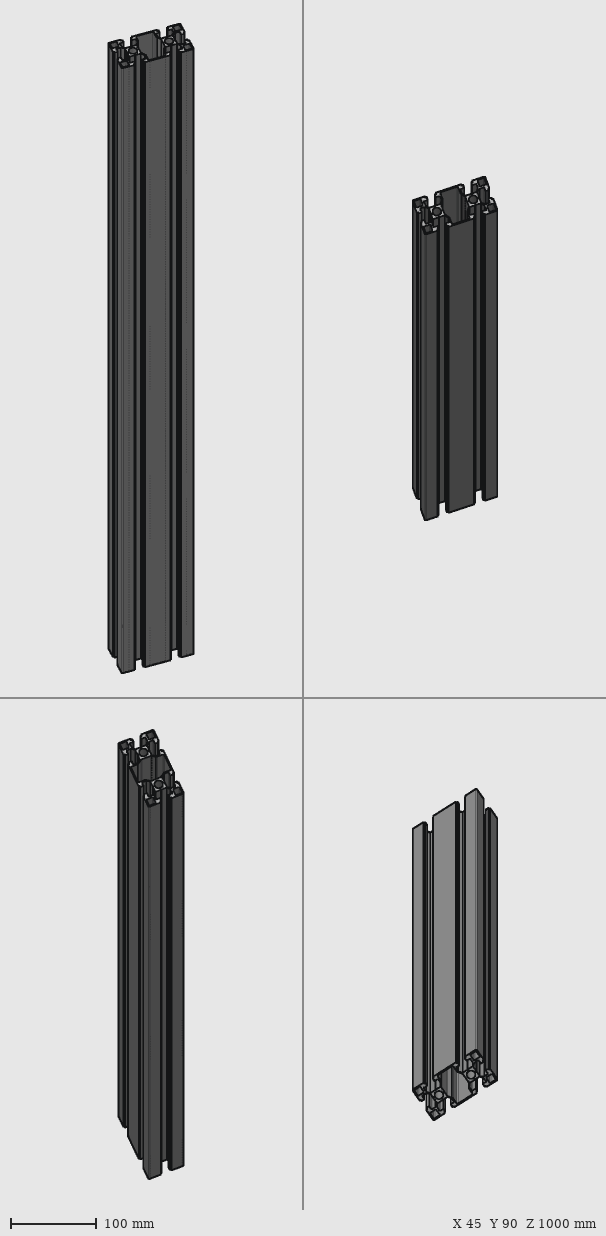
import cadquery as cq

LENGTH = 1000.0
MODULE = 45.0
WIDTH = MODULE
DEPTH = 2 * MODULE
OUTER_CORNER_RADIUS = 1.5

MOUTH_HALF_WIDTH = 5.0
RECESS_HALF_WIDTH = 6.8
RECESS_DEPTH = 1.5
LIP_DEPTH = 5.5
CAVITY_HALF_WIDTH = 10.0
CAVITY_SHOULDER_DEPTH = 11.0
CAVITY_ROUND = 0.5
FLOOR_DEPTH = 15.0
FLOOR_HALF_WIDTH = 7.0
FLOOR_GROOVE = 0.5

MODULE_CENTRE_Y = MODULE / 2
CORE_HALF_SIZE = MODULE / 2 - FLOOR_DEPTH
CORE_BORE_DIAMETER = 10.0

WALL = 1.5
CORNER_HOLLOW = 8.5
CORNER_HOLLOW_ROUND = 1.0

CHAMBER_HALF_WIDTH = WIDTH / 2 - WALL
CHAMBER_SHOULDER_HALF_WIDTH = 12.0
CHAMBER_SHOULDER_Y = 11.0
CHAMBER_END_HALF_WIDTH = 6.0
CHAMBER_END_Y = MODULE_CENTRE_Y - CORE_HALF_SIZE
CHAMBER_ROUND = 1.5


def mirrored_in_x(points):
    return [(-x, y) for x, y in reversed(points)]


def prism(points):
    return cq.Workplane("XY").polyline(points).close().extrude(LENGTH)


def round_corners(body, points, radius):
    """Fillet the lengthwise edges that pass through the given XY points."""
    for x, y in points:
        edge = cq.selectors.NearestToPointSelector((x, y, LENGTH / 2))
        body = body.edges("|Z").edges(edge).fillet(radius)
    return body


def t_slot():
    """T-slot cutter centred on X = 0, opening at Y = 0 and reaching towards -Y."""
    cavity_corner = (CAVITY_HALF_WIDTH, -LIP_DEPTH)
    half = [
        (RECESS_HALF_WIDTH, 0),
        (RECESS_HALF_WIDTH, -RECESS_DEPTH),
        (MOUTH_HALF_WIDTH, -RECESS_DEPTH),
        (MOUTH_HALF_WIDTH, -LIP_DEPTH),
        cavity_corner,
        (CAVITY_HALF_WIDTH, -CAVITY_SHOULDER_DEPTH),
        (FLOOR_HALF_WIDTH, -FLOOR_DEPTH),
        (FLOOR_GROOVE, -FLOOR_DEPTH),
    ]
    groove_bottom = (0, -FLOOR_DEPTH - FLOOR_GROOVE)
    cutter = prism(half + [groove_bottom] + mirrored_in_x(half))
    cavity_corners = [cavity_corner] + mirrored_in_x([cavity_corner])
    return round_corners(cutter, cavity_corners, CAVITY_ROUND)


def all_slots():
    """One slot on each narrow side and two on each wide side."""
    slot = t_slot()
    axis_start = (0, 0, 0)
    axis_end = (0, 0, 1)
    slots = []
    for angle in (0, 180):
        slots.append(slot.translate((0, DEPTH / 2, 0)).rotate(axis_start, axis_end, angle))
    for angle in (90, -90):
        side_slot = slot.translate((0, WIDTH / 2, 0)).rotate(axis_start, axis_end, angle)
        for y in (-MODULE_CENTRE_Y, MODULE_CENTRE_Y):
            slots.append(side_slot.translate((0, y, 0)))
    return slots


def core_bores():
    centres = [(0, -MODULE_CENTRE_Y), (0, MODULE_CENTRE_Y)]
    return cq.Workplane("XY").pushPoints(centres).circle(CORE_BORE_DIAMETER / 2).extrude(LENGTH)


def corner_hollows():
    inset = WALL + CORNER_HOLLOW / 2
    return (
        cq.Workplane("XY")
        .rect(WIDTH - 2 * inset, DEPTH - 2 * inset, forConstruction=True)
        .vertices()
        .rect(CORNER_HOLLOW, CORNER_HOLLOW)
        .extrude(LENGTH)
        .edges("|Z")
        .fillet(CORNER_HOLLOW_ROUND)
    )


def central_chamber():
    quarter = [
        (CHAMBER_HALF_WIDTH, CHAMBER_SHOULDER_Y),
        (CHAMBER_SHOULDER_HALF_WIDTH, CHAMBER_SHOULDER_Y),
        (CHAMBER_END_HALF_WIDTH, CHAMBER_END_Y),
    ]
    upper = quarter + mirrored_in_x(quarter)
    lower = [(-x, -y) for x, y in upper]
    return prism(upper + lower).edges("|Z").fillet(CHAMBER_ROUND)


result = cq.Workplane("XY").rect(WIDTH, DEPTH).extrude(LENGTH)
result = result.edges("|Z").fillet(OUTER_CORNER_RADIUS)
for cutter in all_slots() + [core_bores(), corner_hollows(), central_chamber()]:
    result = result.cut(cutter)